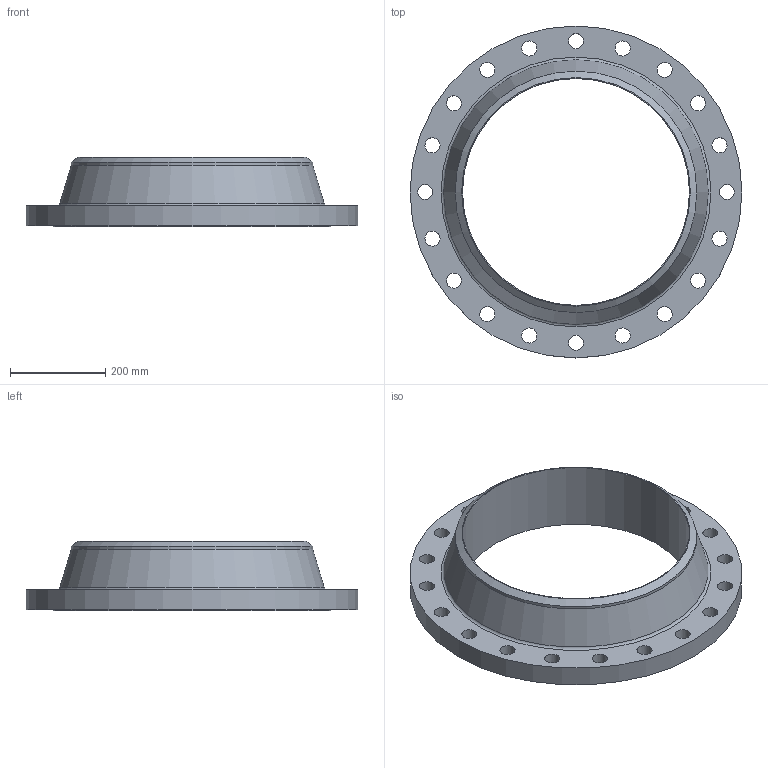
import cadquery as cq
import math

flange_diameter = 698.5
overall_height = 146.13
bore_diameter = 477.8

raised_face_diameter = 584.2
raised_face_height = 1.6
flange_thickness = 42.9
flange_top = raised_face_height + flange_thickness

bolt_circle_diameter = 635.0
bolt_hole_diameter = 31.75
bolt_hole_count = 20

hub_base_diameter = 559.0
hub_fillet_radius = 6.0

pipe_diameter = 508.0
pipe_stub_length = 6.0
land_width = 1.6
bevel_angle = 37.5

bore_radius = bore_diameter / 2
pipe_radius = pipe_diameter / 2
land_radius = bore_radius + land_width
bevel_height = (pipe_radius - land_radius) * math.tan(math.radians(bevel_angle))
bevel_bottom = overall_height - bevel_height
taper_top = bevel_bottom - pipe_stub_length


def make_plate():
    """Flange plate standing on its raised face."""
    raised_face = cq.Workplane("XY").circle(raised_face_diameter / 2).extrude(raised_face_height)
    plate = (
        cq.Workplane("XY")
        .workplane(offset=raised_face_height)
        .circle(flange_diameter / 2)
        .extrude(flange_thickness)
    )
    return raised_face.union(plate)


def make_hub():
    """Tapered hub and bevelled weld end, revolved about Z."""
    profile = (
        cq.Workplane("XZ")
        .moveTo(0, flange_top)
        .lineTo(hub_base_diameter / 2, flange_top)
        .lineTo(pipe_radius, taper_top)
        .lineTo(pipe_radius, bevel_bottom)
        .lineTo(land_radius, overall_height)
        .lineTo(0, overall_height)
        .close()
    )
    return profile.revolve(360, (0, 0, 0), (0, 1, 0))


def fillet_hub_base(body):
    """Round the inner corner where the hub meets the plate."""
    point_on_plate_top = (bolt_circle_diameter / 2, 0, flange_top)
    plate_top = body.faces(cq.selectors.NearestToPointSelector(point_on_plate_top))
    hub_base_edge = plate_top.edges(cq.selectors.RadiusNthSelector(0))
    return hub_base_edge.fillet(hub_fillet_radius)


def make_bore():
    """Straight bore through the full height."""
    return cq.Workplane("XY").circle(bore_radius).extrude(overall_height)


def make_bolt_holes():
    """Ring of equally spaced through holes, the first one on +X."""
    return (
        cq.Workplane("XY")
        .polarArray(bolt_circle_diameter / 2, 0, 360, bolt_hole_count)
        .circle(bolt_hole_diameter / 2)
        .extrude(flange_top)
    )


body = fillet_hub_base(make_plate().union(make_hub()))
result = body.cut(make_bore()).cut(make_bolt_holes())